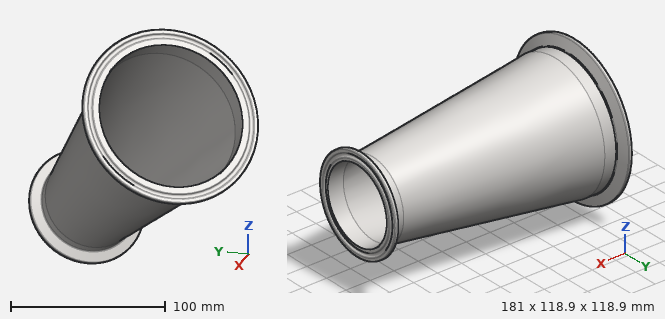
import cadquery as cq
import math

length = 181.0

large_flange_dia = 118.9
large_tube_dia = 101.5
large_bore_dia = 97.4
large_tube_length = 16.1

small_flange_dia = 77.5
small_tube_dia = 63.5
small_bore_dia = 60.3
small_tube_length = 12.7

rim_thickness = 2.9
bevel_angle = 20.0
rim_round = 0.5
bevel_foot_round = 0.7
groove_inset = 4.5
groove_mouth = 3.8
groove_depth = 1.3
groove_lip_round = 0.5


def end_outline(flange_dia, tube_dia):
    """Outer (x, radius) points from the clamp face to the foot of the bevel."""
    bevel_run = (flange_dia - tube_dia) / 2 * math.tan(math.radians(bevel_angle))
    return [
        (0, flange_dia / 2),
        (rim_thickness, flange_dia / 2),
        (rim_thickness + bevel_run, tube_dia / 2),
    ]


def from_small_face(points):
    """Reverse an outline and place it at the small end of the part."""
    return [(length - x, radius) for x, radius in reversed(points)]


def make_body():
    """Hollow reducer: flange, tube, cone, tube and flange in one revolve."""
    outer = end_outline(large_flange_dia, large_tube_dia)
    outer += [
        (large_tube_length, large_tube_dia / 2),
        (length - small_tube_length, small_tube_dia / 2),
    ]
    outer += from_small_face(end_outline(small_flange_dia, small_tube_dia))
    bore = [
        (length, small_bore_dia / 2),
        (length - small_tube_length, small_bore_dia / 2),
        (large_tube_length, large_bore_dia / 2),
        (0, large_bore_dia / 2),
    ]
    profile = cq.Workplane("XY").polyline(outer + bore).close()
    return profile.revolve(360, (0, 0, 0), (1, 0, 0))


def gasket_groove(face_x, inward, flange_dia):
    """Ring sunk from a clamp face: an arc floor between two rounded lips, all tangent.

    inward is +1 or -1 along X. Each lip arc starts flush with the face and turns
    through lip_turn to meet the floor arc.
    """
    middle = flange_dia / 2 - groove_inset
    half_mouth = groove_mouth / 2
    centre_spacing = (half_mouth**2 + groove_depth**2) / (2 * groove_depth)
    lip_turn = math.atan2(half_mouth, centre_spacing - groove_depth)

    def lip_point(side, turn):
        depth = groove_lip_round * (1 - math.cos(turn))
        offset = half_mouth - groove_lip_round * math.sin(turn)
        return (face_x + inward * depth, middle + side * offset)

    floor_point = (face_x + inward * groove_depth, middle)
    profile = (
        cq.Workplane("XY")
        .moveTo(*lip_point(-1, 0))
        .threePointArc(lip_point(-1, lip_turn / 2), lip_point(-1, lip_turn))
        .threePointArc(floor_point, lip_point(1, lip_turn))
        .threePointArc(lip_point(1, lip_turn / 2), lip_point(1, 0))
        .close()
    )
    return profile.revolve(360, (0, 0, 0), (1, 0, 0))


def round_circles(body, flange_end, radius, fillet_radius):
    """Fillet the circular edges of one radius within a flange; flange_end is its X range."""
    tolerance = 0.02
    start_x, end_x = flange_end
    circles = [
        edge
        for edge in body.edges("%CIRCLE").vals()
        if abs(edge.radius() - radius) < tolerance
        and start_x - tolerance < edge.Center().x < end_x + tolerance
    ]
    return body.newObject(circles).fillet(fillet_radius)


def finish_flange(body, face_x, inward, flange_dia, tube_dia):
    """Cut the gasket groove, then round the rim and the bevel foot."""
    foot_depth = end_outline(flange_dia, tube_dia)[-1][0]
    flange_end = sorted((face_x, face_x + inward * foot_depth))
    body = body.cut(gasket_groove(face_x, inward, flange_dia))
    body = round_circles(body, flange_end, flange_dia / 2, rim_round)
    return round_circles(body, flange_end, tube_dia / 2, bevel_foot_round)


result = make_body()
result = finish_flange(result, 0, 1, large_flange_dia, large_tube_dia)
result = finish_flange(result, length, -1, small_flange_dia, small_tube_dia)